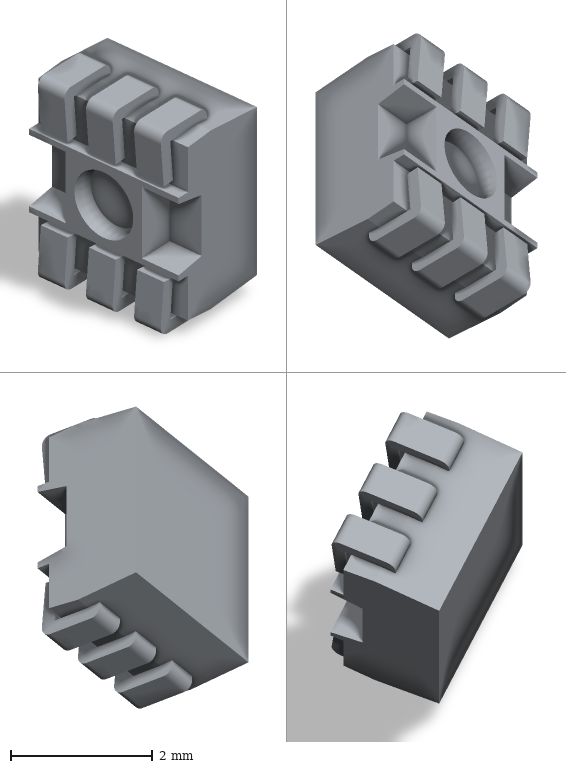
import cadquery as cq
import math


housing_width = 2.8
waist_height = 3.0
back_depth = 1.0
front_depth = 0.5
side_draft = 5.0

foot_height = 1.4
foot_depth = 0.2

pocket_draft = 10.0
end_pocket_height = 1.2
end_pocket_length = 0.687
end_pocket_depth = 0.5
round_pocket_diameter = 1.1
round_pocket_depth = 0.3

lead_count = 3
lead_pitch = 0.9
lead_width = 0.5
lead_thickness = 0.2
lead_tip_reach = 0.9
lead_lean = 5.0
bend_radius = 0.15
total_height = 3.4
total_depth = 1.8
plate_height = 1.0

side_slope = math.tan(math.radians(side_draft))
foot_face_y = -front_depth - foot_depth
lead_span = (lead_count - 1) * lead_pitch + lead_width


def along_x(points, length):
    """Prism of a (Y, Z) outline, centred on X = 0."""
    return cq.Workplane("YZ").polyline(points).close().extrude(length / 2, both=True)


def make_housing_block():
    """Block that tapers from its waist to the back and the front, with the foot."""
    waist = waist_height / 2
    back = waist - back_depth * side_slope
    front = waist - front_depth * side_slope
    foot = foot_height / 2
    upper_half = [
        (back_depth, back),
        (0, waist),
        (-front_depth, front),
        (-front_depth, foot),
        (foot_face_y, foot),
    ]
    lower_half = [(y, -z) for y, z in reversed(upper_half)]
    return along_x(upper_half + lower_half, housing_width)


def make_end_pocket(side):
    """Pocket open at one end of the foot (side is -1 or 1), with three drafted walls."""
    return (
        cq.Workplane("XZ", origin=(side * housing_width / 2, foot_face_y, 0))
        .rect(2 * end_pocket_length, end_pocket_height)
        .extrude(-end_pocket_depth, taper=pocket_draft)
    )


def make_round_pocket():
    """Conical pocket in the middle of the foot, narrowing inwards."""
    return (
        cq.Workplane("XZ", origin=(0, foot_face_y, 0))
        .circle(round_pocket_diameter / 2)
        .extrude(-round_pocket_depth, taper=pocket_draft)
    )


def make_lead(x):
    """Lead that leaves the inner plate, runs forward over the housing and folds towards the foot."""
    lean = math.radians(lead_lean)
    top = total_height / 2
    under = top - lead_thickness
    bend_center_y = back_depth - total_depth + bend_radius
    corner_y = bend_center_y - bend_radius * (1 + math.sin(lean)) / math.cos(lean)
    outer_tip = (corner_y + lead_tip_reach * math.tan(lean), top - lead_tip_reach)
    inner_tip = (
        outer_tip[0] + lead_thickness * math.cos(lean),
        outer_tip[1] + lead_thickness * math.sin(lean),
    )
    inner_bend = (inner_tip[0] - (under - inner_tip[1]) * math.tan(lean), under)
    outline = [
        (lead_thickness, 0),
        (lead_thickness, top),
        (corner_y, top),
        outer_tip,
        inner_tip,
        inner_bend,
        (0, under),
        (0, 0),
    ]
    lead = along_x(outline, lead_width)
    return lead.edges("|X and >Z").fillet(bend_radius).translate((x, 0, 0))


def make_lead_frame():
    """Inner plate with a row of leads above and a mirrored row below, as one piece."""
    frame = cq.Workplane("XY").box(lead_span, lead_thickness, plate_height)
    frame = frame.translate((0, lead_thickness / 2, 0))
    for index in range(lead_count):
        lead = make_lead((index - (lead_count - 1) / 2) * lead_pitch)
        frame = frame.union(lead).union(lead.mirror("XY"))
    return frame


def make_housing(frame):
    """Housing with its pockets, moulded around the lead frame."""
    housing = make_housing_block().cut(make_round_pocket())
    for side in (-1, 1):
        housing = housing.cut(make_end_pocket(side))
    return housing.cut(frame)


lead_frame = make_lead_frame()
housing = make_housing(lead_frame)
result = cq.Compound.makeCompound([housing.solids().val(), lead_frame.solids().val()])